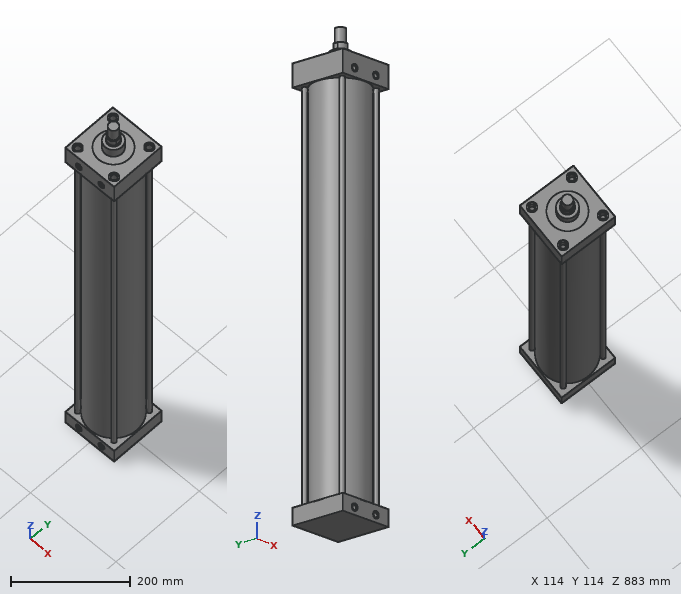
import cadquery as cq
import math

total_height = 883.0
end_cap_top = 32.0
head_bottom = 777.0
head_top = 820.0
boss_top = 840.0
rod_step = 844.0
shoulder_top = 855.0

cap_side = 114.0
tie_rod_diameter = 10.0
tie_rod_offset = 42.0

barrel_diameter = 109.5
flange_diameter = 71.0
boss_diameter = 39.0
rod_diameter = 26.0
shoulder_diameter = 25.0
stud_diameter = 19.0
flat_distance = 23.0

corner_mouth_diameter = 18.0
corner_mouth_depth = 3.0
corner_hole_diameter = 11.5
corner_hole_depth = 18.0

port_mouth_diameter = 13.0
port_mouth_depth = 2.0
port_hole_diameter = 9.0
port_hole_depth = 13.0
port_offset = 26.5
head_port_height = 793.5
end_port_height = 14.0

drill_point_angle = 118.0

corner_points = [
    (x, y) for x in (-tie_rod_offset, tie_rod_offset) for y in (-tie_rod_offset, tie_rod_offset)
]


def plate(bottom, top):
    """Square cap plate between two heights."""
    return cq.Workplane("XY", origin=(0, 0, bottom)).rect(cap_side, cap_side).extrude(top - bottom)


def disc(diameter, bottom, top):
    """Round section on the cylinder axis between two heights."""
    return cq.Workplane("XY", origin=(0, 0, bottom)).circle(diameter / 2).extrude(top - bottom)


def drill_shape(mouth_diameter, mouth_depth, diameter, depth):
    """Cutter for a stepped blind hole with a drill point, mouth at the origin, running down -Z."""
    radius = diameter / 2
    tip_length = radius / math.tan(math.radians(drill_point_angle / 2))
    return (
        cq.Workplane("XZ")
        .moveTo(0, 0)
        .lineTo(mouth_diameter / 2, 0)
        .lineTo(mouth_diameter / 2, -mouth_depth)
        .lineTo(radius, -mouth_depth)
        .lineTo(radius, -depth)
        .lineTo(0, -depth - tip_length)
        .close()
        .revolve(360, (0, 0, 0), (0, 1, 0))
    )


def make_tie_rods():
    return (
        cq.Workplane("XY", origin=(0, 0, end_cap_top))
        .pushPoints(corner_points)
        .circle(tie_rod_diameter / 2)
        .extrude(head_bottom - end_cap_top)
    )


def cut_corner_holes(body):
    cutter = drill_shape(
        corner_mouth_diameter, corner_mouth_depth, corner_hole_diameter, corner_hole_depth
    )
    for x, y in corner_points:
        body = body.cut(cutter.translate((x, y, head_top)))
    return body


def cut_mounting_holes(body):
    """Pair of holes in the -Y face of each cap."""
    cutter = drill_shape(
        port_mouth_diameter, port_mouth_depth, port_hole_diameter, port_hole_depth
    ).rotate((0, 0, 0), (1, 0, 0), 90)
    for x in (-port_offset, port_offset):
        for z in (end_port_height, head_port_height):
            body = body.cut(cutter.translate((x, -cap_side / 2, z)))
    return body


def make_frame():
    """End cap and head in one piece with the tie rods, bored for the gland."""
    head = plate(head_bottom, head_top).cut(disc(flange_diameter, head_bottom, head_top))
    frame = plate(0, end_cap_top).union(make_tie_rods()).union(head)
    return cut_mounting_holes(cut_corner_holes(frame))


def make_barrel():
    return disc(barrel_diameter, end_cap_top, head_bottom)


def make_gland():
    """Flange flush with the head, with a boss above it and a bore for the rod."""
    gland = disc(flange_diameter, head_bottom, head_top).union(disc(boss_diameter, head_top, boss_top))
    return gland.cut(disc(rod_diameter, head_bottom, boss_top))


def make_rod():
    """Rod with a two-flat wrench shoulder and a stud end."""
    flats = cq.Workplane("XY").box(flat_distance, shoulder_diameter, 2 * shoulder_top)
    shoulder = disc(shoulder_diameter, rod_step, shoulder_top).intersect(flats)
    return (
        disc(rod_diameter, head_bottom, rod_step)
        .union(shoulder)
        .union(disc(stud_diameter, shoulder_top, total_height))
    )


frame = make_frame()
barrel = make_barrel()
gland = make_gland()
rod = make_rod()
result = cq.Compound.makeCompound([frame.val(), barrel.val(), gland.val(), rod.val()])